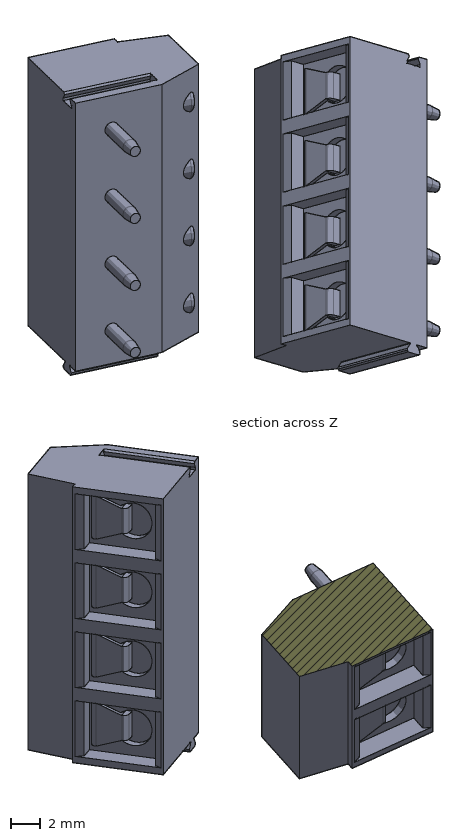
import cadquery as cq


pole_count = 4
pole_pitch = 5.08
overall_height = 21.0
housing_height = pole_count * pole_pitch
housing_width = 7.5
housing_depth = 10.0
shoulder_y = 6.47
shoulder_width = 0.5
top_left_x = 1.1
top_right_x = 5.84

dovetail_x = 6.2
rail_drop = overall_height - housing_height
rail_neck_half = 0.34
rail_neck_drop = 0.05
rail_half = 0.63
rail_flank_drop = 0.45
rail_chamfer = 0.1
groove_mouth_half = 0.55
groove_neck_half = 0.42
groove_neck_depth = 0.15
groove_half = 0.63
groove_flank_depth = 0.5
groove_depth = 0.7

window_height = 4.1
window_y_min = 0.15
window_y_max = 6.28
pocket_y_min = 0.65
pocket_y_max = 5.71
bevel_depth = 0.25
pocket_floor_x = 1.39

wire_hole_y = 2.58
wire_hole_diameter = 2.62
wire_hole_end_x = 2.0

tongue_x = 1.1
tongue_wide_y = 5.6
tongue_wide_bend = 0.45
tongue_wide_half = 1.6
tongue_tip_y = 2.96
tongue_foot_y = 2.88
tongue_tip_bend = 0.38
tongue_tip_half = 0.92

pin_y = 2.7
pin_diameter = 1.0
pin_tip_diameter = 0.75
pin_shank_length = 2.84
pin_length = 3.7

screw_diameter = 2.0
screw_right_x = 6.53
screw_top_y = 9.5
screw_bottom_y = 6.5
screw_head_fillet = 0.35


def make_housing():
    outline = [
        (0, 0),
        (housing_width, 0),
        (housing_width, shoulder_y),
        (top_right_x, housing_depth),
        (top_left_x, housing_depth),
        (shoulder_width, shoulder_y),
        (0, shoulder_y),
    ]
    return cq.Workplane("XY").polyline(outline).close().extrude(housing_height)


def make_dovetail(right_side, top_z):
    """Bar along Y from (half width, drop) points; the left side mirrors the right."""
    right = [(dovetail_x + half, top_z - drop) for half, drop in right_side]
    left = [(dovetail_x - half, top_z - drop) for half, drop in reversed(right_side)]
    return cq.Workplane("XZ").polyline(right + left).close().extrude(-shoulder_y)


def make_rail():
    right_side = [
        (rail_neck_half, 0),
        (rail_neck_half, rail_neck_drop),
        (rail_half, rail_flank_drop),
        (rail_half, rail_drop - rail_chamfer),
        (rail_half - rail_chamfer, rail_drop),
    ]
    return make_dovetail(right_side, 0)


def make_groove():
    right_side = [
        (groove_mouth_half, 0),
        (groove_neck_half, groove_neck_depth),
        (groove_half, groove_flank_depth),
        (groove_half, groove_depth),
    ]
    return make_dovetail(right_side, housing_height)


def make_opening(center_z):
    """Pocket with bevelled Y walls, plus the wire hole in its floor."""
    outline = [
        (0, window_y_min),
        (bevel_depth, pocket_y_min),
        (pocket_floor_x, pocket_y_min),
        (pocket_floor_x, pocket_y_max),
        (bevel_depth, pocket_y_max),
        (0, window_y_max),
    ]
    pocket = (
        cq.Workplane("XY", origin=(0, 0, center_z - window_height / 2))
        .polyline(outline)
        .close()
        .extrude(window_height)
    )
    wire_hole = (
        cq.Workplane("YZ", origin=(pocket_floor_x, wire_hole_y, center_z))
        .circle(wire_hole_diameter / 2)
        .extrude(wire_hole_end_x - pocket_floor_x)
    )
    return pocket.union(wire_hole)


def make_tongue(center_z):
    """Tapered tongue with a rounded bend at both Y ends."""
    taper_start_y = tongue_wide_y - tongue_wide_bend
    taper_end_y = tongue_tip_y + tongue_tip_bend
    face_outline = [
        (tongue_wide_y, tongue_wide_half),
        (taper_start_y, tongue_wide_half),
        (taper_end_y, tongue_tip_half),
        (tongue_foot_y, tongue_tip_half),
        (tongue_foot_y, -tongue_tip_half),
        (taper_end_y, -tongue_tip_half),
        (taper_start_y, -tongue_wide_half),
        (tongue_wide_y, -tongue_wide_half),
    ]
    side_outline = [
        (tongue_x, tongue_wide_y),
        (wire_hole_end_x, tongue_wide_y),
        (wire_hole_end_x, tongue_foot_y),
        (tongue_x, tongue_tip_y),
    ]
    tapered_block = (
        cq.Workplane("YZ", origin=(tongue_x, 0, center_z))
        .polyline(face_outline)
        .close()
        .extrude(wire_hole_end_x - tongue_x)
    )
    bent_bar = (
        cq.Workplane("XY", origin=(0, 0, center_z - tongue_wide_half))
        .polyline(side_outline)
        .close()
        .extrude(2 * tongue_wide_half)
        .edges("|Z and <X and >Y")
        .fillet(tongue_wide_bend)
        .faces("<X")
        .edges("|Z and <Y")
        .fillet(tongue_tip_bend)
    )
    return tapered_block.intersect(bent_bar)


def make_pin(center_z):
    shank_end_x = housing_width + pin_shank_length
    shank = (
        cq.Workplane("YZ", origin=(housing_width, pin_y, center_z))
        .circle(pin_diameter / 2)
        .extrude(pin_shank_length)
    )
    tip = (
        cq.Workplane("YZ", origin=(shank_end_x, pin_y, center_z))
        .circle(pin_diameter / 2)
        .workplane(offset=pin_length - pin_shank_length)
        .circle(pin_tip_diameter / 2)
        .loft()
    )
    return shank.union(tip)


def make_screw(center_z):
    screw_x = screw_right_x - screw_diameter / 2
    return (
        cq.Workplane("XZ", origin=(screw_x, screw_bottom_y, center_z))
        .circle(screw_diameter / 2)
        .extrude(screw_bottom_y - screw_top_y)
        .faces(">Y")
        .edges()
        .fillet(screw_head_fillet)
    )


result = make_housing().union(make_rail()).cut(make_groove())
for pole in range(pole_count):
    pole_z = (pole + 0.5) * pole_pitch
    result = result.cut(make_opening(pole_z))
    result = result.union(make_tongue(pole_z))
    result = result.union(make_pin(pole_z))
    result = result.union(make_screw(pole_z))